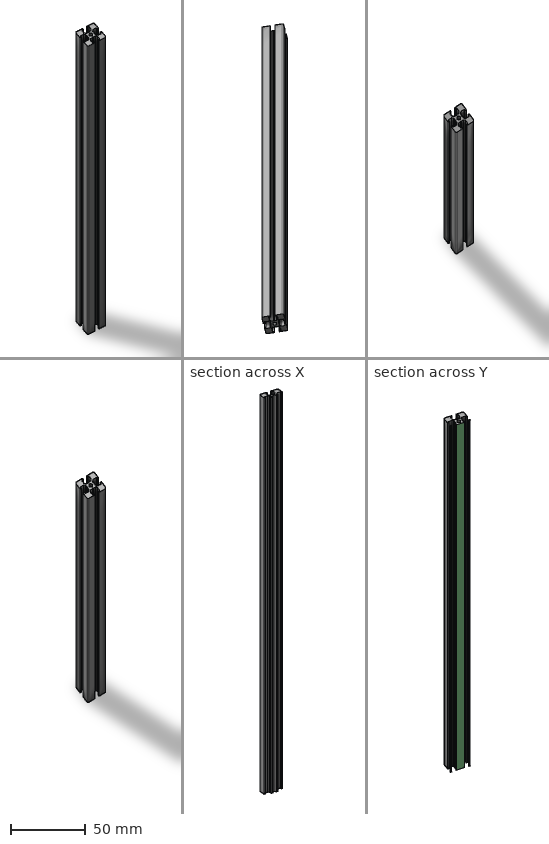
import cadquery as cq

length = 300.0
side = 15.0
corner_radius = 1.05
bore_diameter = 2.5

opening_width = 3.3
lip_thickness = 1.05
cavity_width = 5.7
floor_distance = 2.85
floor_bevel = 1.0
groove_width = 1.2
groove_depth = 0.3

slot_count = 4


def make_bar():
    bar = cq.Workplane("XY").rect(side, side).extrude(length)
    return bar.edges("|Z").fillet(corner_radius)


def make_slot():
    """Cutter for the +Y T-slot, with bevelled floor corners and a V-groove."""
    face = side / 2
    lip = face - lip_thickness
    half_opening = opening_width / 2
    half_cavity = cavity_width / 2
    half_floor = half_cavity - floor_bevel
    half_groove = groove_width / 2
    right_half = [
        (half_groove, floor_distance),
        (half_floor, floor_distance),
        (half_cavity, floor_distance + floor_bevel),
        (half_cavity, lip),
        (half_opening, lip),
        (half_opening, face),
    ]
    left_half = [(-x, y) for x, y in reversed(right_half)]
    groove_root = [(0, floor_distance - groove_depth)]
    outline = groove_root + right_half + left_half
    return cq.Workplane("XY").polyline(outline).close().extrude(length)


def cut_slots(bar):
    slot = make_slot()
    for index in range(slot_count):
        angle = index * 360 / slot_count
        bar = bar.cut(slot.rotate((0, 0, 0), (0, 0, 1), angle))
    return bar


def drill_bore(bar):
    bore = cq.Workplane("XY").circle(bore_diameter / 2).extrude(length)
    return bar.cut(bore)


result = drill_bore(cut_slots(make_bar()))